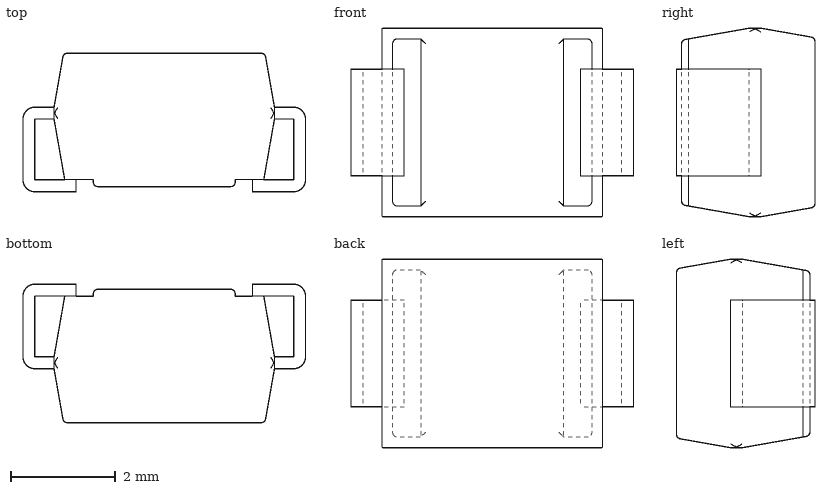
import cadquery as cq
import math

body_width = 4.21
body_height = 3.6
body_back = 2.65
draft_angle = 10.0
edge_radius = 0.095

pad_width = 2.715
pad_clearance = 0.095

lead_span = 5.4
lead_height = 2.035
lead_thickness = 0.23
lead_bend_radius = 0.23
lead_rise = 1.62
foot_length = 1.015

body_front = lead_thickness
parting_y = lead_rise - lead_thickness / 2
band_front = lead_rise - lead_thickness
band_back = lead_rise
draft_slope = math.tan(math.radians(draft_angle))


def tapered_block(width, height, start_y, end_y):
    """Block of the given X and Z size at start_y, narrowing with the draft towards end_y."""
    depth = abs(end_y - start_y)
    direction = math.copysign(1, end_y - start_y)
    plane = cq.Plane(origin=(0, start_y, 0), xDir=(1, 0, 0), normal=(0, direction, 0))
    return cq.Workplane(plane).rect(width, height).extrude(depth, taper=draft_angle)


def body_half(band_edge, end_y):
    """Drafted half with rounded corners, running from the parting plane to end_y."""
    excess = 2 * abs(band_edge - parting_y) * draft_slope
    half = tapered_block(body_width + excess, body_height + excess, parting_y, end_y)
    return half.edges("not(|X or |Z)").fillet(edge_radius)


def make_body():
    front = body_half(band_front, body_front)
    back = body_half(band_back, body_back).faces(">Y").edges().fillet(edge_radius)
    band_limit = cq.Workplane("XY").box(body_width, 2 * body_back, body_height)
    return front.union(back).intersect(band_limit)


def make_pad():
    height = body_height - 2 * (band_front - body_front) * draft_slope
    side_limit = cq.Workplane("XY").box(pad_width, 2 * body_back, body_height)
    pad = tapered_block(body_width, height, body_front, pad_clearance).intersect(side_limit)
    return pad.faces("<Y").edges().fillet(edge_radius)


def make_lead(side):
    """C-shaped strip whose rear leg ends inside the body; side is -1 or 1."""
    outer_x = side * lead_span / 2
    inner_x = outer_x - side * lead_thickness
    foot_x = outer_x - side * foot_length
    outline = [
        (foot_x, 0),
        (outer_x, 0),
        (outer_x, lead_rise),
        (foot_x, lead_rise),
        (foot_x, band_front),
        (inner_x, band_front),
        (inner_x, lead_thickness),
        (foot_x, lead_thickness),
    ]
    strip = cq.Workplane("XY").polyline(outline).close().extrude(lead_height / 2, both=True)
    outer_bends = strip.edges("|Z").edges(">X" if side > 0 else "<X")
    return outer_bends.fillet(lead_bend_radius)


result = make_body().union(make_pad())
for side in (-1, 1):
    result = result.union(make_lead(side))